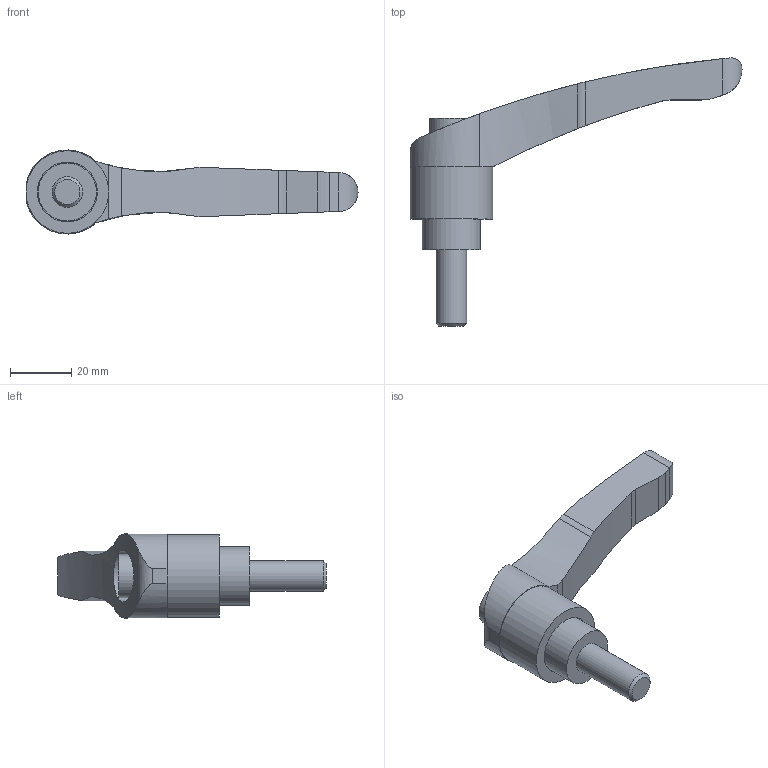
import cadquery as cq
import math


HUB_D = 27.0
HUB_H = 17.0
COLLAR_D = 19.0
COLLAR_H = 10.0
COLLAR_RECESS_D = 19.6
COLLAR_RECESS_DEPTH = 8.0
STUD_D = 10.0
STUD_L = 25.0
STUD_CHAMFER = 0.9

HEAD_D = 27.46
HEAD_PRISM_H = 22.0
HEAD_FLAT_X = -HUB_D / 2
BORE_D = 16.8
BORE_OFFSET_X = 1.1
BORE_FLOOR_Y = 0.0
PIN_D = 14.2
PIN_TOP_Y = 15.85

OVERALL_X = 108.49
OVERALL_Y = 87.67
LEVER_END_X = OVERALL_X - HUB_D / 2
LEVER_TOP_Y = OVERALL_Y - HUB_H - COLLAR_H - STUD_L
NECK_X = 29.5
NECK_HALF = 6.7
NECK_R = 62.0
NECK_START_X = 5.0
NECK_END_X = 41.2
CREST_X = 42.5
CREST_HALF = 8.03
TAPER_X = 43.8
TAPER_HALF = 8.06
TIP_HALF = 6.35
TIP_X = LEVER_END_X - TIP_HALF

BACK_START_Y = 8.15
BACK_MID_X, BACK_MID_Y = 39.5, 26.75
HEAD_CORNER_R = 5.2
NOSE_R = 3.65
NOSE_X = LEVER_END_X - NOSE_R
NOSE_Y = LEVER_TOP_Y - NOSE_R
BACK_END_DEG = 97.0

BELLY_START_X, BELLY_START_Y = 17.8, 2.05
BELLY_MID_X, BELLY_MID_Y = 43.8, 13.5
BEND_X = 70.25
FLAT_Y = 21.9
BEND_R = 9.5
RAMP_X = 83.7
RAMP_DEG = 17.0
RAMP_R = 13.5


def pivot_cylinder(diameter, y_low, y_high):
    """Cylinder on the pivot axis between two heights."""
    return (
        cq.Workplane("XZ", origin=(0, y_high, 0))
        .circle(diameter / 2)
        .extrude(y_high - y_low)
    )


def neck_half_width(x):
    """Half width of the neck, whose flanks are circular arcs."""
    return NECK_HALF + NECK_R - math.sqrt(NECK_R**2 - (x - NECK_X) ** 2)


def plan_prism():
    """Lever arm plan, extruded through the full lever height."""
    start_half = neck_half_width(NECK_START_X)
    end_half = neck_half_width(NECK_END_X)
    return (
        cq.Workplane("XZ")
        .moveTo(NECK_START_X, -start_half)
        .threePointArc((NECK_X, -NECK_HALF), (NECK_END_X, -end_half))
        .threePointArc((CREST_X, -CREST_HALF), (TAPER_X, -TAPER_HALF))
        .lineTo(TIP_X, -TIP_HALF)
        .threePointArc((LEVER_END_X, 0), (TIP_X, TIP_HALF))
        .lineTo(TAPER_X, TAPER_HALF)
        .threePointArc((CREST_X, CREST_HALF), (NECK_END_X, end_half))
        .threePointArc((NECK_X, NECK_HALF), (NECK_START_X, start_half))
        .close()
        .extrude(-LEVER_TOP_Y)
    )


def on_nose(angle_deg):
    """Point of the nose arc at an angle from +X."""
    angle = math.radians(angle_deg)
    return (NOSE_X + NOSE_R * math.cos(angle), NOSE_Y + NOSE_R * math.sin(angle))


def profile_prism():
    """Lever side profile, extruded across the full head width."""
    ramp = math.radians(RAMP_DEG)
    ramp_rise = math.tan(ramp)
    chin_drop = math.cos(ramp)
    chin_reach = 1 - math.sin(ramp)
    end_rise = NOSE_Y - FLAT_Y - ramp_rise * (LEVER_END_X - RAMP_X)
    chin_r = end_rise / (chin_drop - ramp_rise * chin_reach)
    chin_x = LEVER_END_X - chin_r * chin_reach
    chin_y = NOSE_Y - chin_r * chin_drop
    chin_mid = (ramp - math.pi / 2) / 2
    chin_mid_point = (
        LEVER_END_X - chin_r * (1 - math.cos(chin_mid)),
        NOSE_Y + chin_r * math.sin(chin_mid),
    )
    return (
        cq.Workplane("XY", origin=(0, 0, -HEAD_D / 2))
        .moveTo(HEAD_FLAT_X, 0)
        .lineTo(HEAD_FLAT_X, BACK_START_Y)
        .threePointArc((BACK_MID_X, BACK_MID_Y), on_nose(BACK_END_DEG))
        .threePointArc(on_nose(BACK_END_DEG / 2), (LEVER_END_X, NOSE_Y))
        .threePointArc(chin_mid_point, (chin_x, chin_y))
        .lineTo(RAMP_X, FLAT_Y)
        .lineTo(BEND_X, FLAT_Y)
        .threePointArc((BELLY_MID_X, BELLY_MID_Y), (BELLY_START_X, BELLY_START_Y))
        .lineTo(HUB_D / 2, 0)
        .close()
        .extrude(HEAD_D)
    )


def round_corner(body, x, y, radius):
    """Fillet the profile corner at (x, y), an edge parallel to Z."""
    corner = cq.selectors.NearestToPointSelector((x, y, 0))
    return body.edges("|Z").edges(corner).fillet(radius)


def lever():
    """Lever casting: head and arm trimmed to the rounded side profile."""
    profile = profile_prism()
    profile = round_corner(profile, HEAD_FLAT_X, BACK_START_Y, HEAD_CORNER_R)
    profile = round_corner(profile, BEND_X, FLAT_Y, BEND_R)
    profile = round_corner(profile, RAMP_X, FLAT_Y, RAMP_R)
    plan = plan_prism().union(pivot_cylinder(HEAD_D, 0, HEAD_PRISM_H))
    bore = pivot_cylinder(BORE_D, BORE_FLOOR_Y, LEVER_TOP_Y)
    bore = bore.translate((BORE_OFFSET_X, 0, 0))
    return profile.intersect(plan).cut(bore)


def hub():
    """Straight hub with a clearance recess around the collar."""
    recess = pivot_cylinder(COLLAR_RECESS_D, -HUB_H, -HUB_H + COLLAR_RECESS_DEPTH)
    return pivot_cylinder(HUB_D, -HUB_H, 0).cut(recess)


def insert():
    """Clamping insert sections on the pivot axis: pin, collar, chamfered stud."""
    collar_y = -HUB_H - COLLAR_H
    stud_y = collar_y - STUD_L
    pin = pivot_cylinder(PIN_D, BORE_FLOOR_Y, PIN_TOP_Y)
    collar = pivot_cylinder(COLLAR_D, collar_y, -HUB_H + COLLAR_RECESS_DEPTH)
    stud = pivot_cylinder(STUD_D, stud_y, collar_y).faces("<Y").chamfer(STUD_CHAMFER)
    return pin, collar, stud


result = lever().union(hub())
for section in insert():
    result = result.union(section)